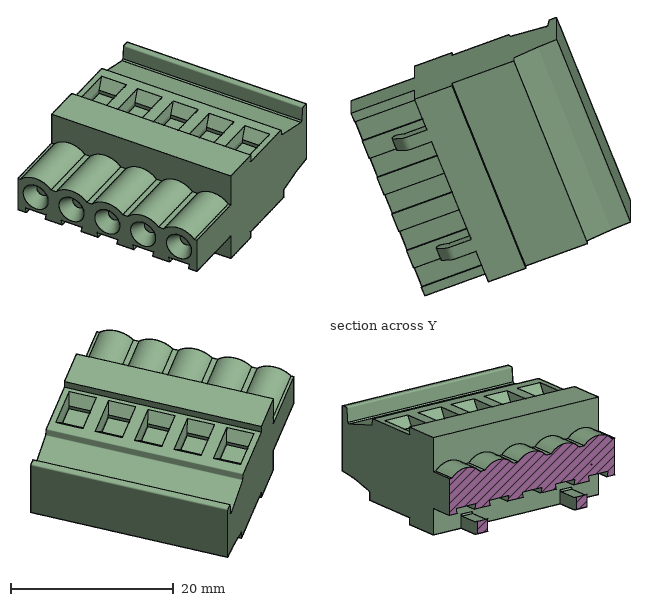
import cadquery as cq
import math


pole_count = 5
pitch = 5.08
width = pole_count * pitch
length = 27.1
height = 12.7

collar_front = 8.37
collar_rear = 13.3
body_top = 11.7
body_bottom = 0.9
rear_bottom_step = 21.45
ramp_low_z = 2.05
ramp_bend_y = 24.6
ramp_bend_z = 2.86
ramp_high_z = 3.17
ramp_round = 0.12
shelf_front_top = 20.78
shelf_front_bottom = 21.0
shelf_front_z = 10.82
shelf_rear_z = 9.6
lip_top = 26.1
lip_foot = 25.9
lip_round = 0.2
lip_foot_chamfer = 0.2
shelf_edge_round = 0.12

nose_bottom = 3.46
nose_shoulder = 8.27
barrel_top = 9.2
barrel_gap = 0.72
keyway_top = 4.14
keyway_top_width = 2.93
keyway_mouth_width = 2.65

funnel_z = height / 2
funnel_mouth_diameter = 3.55
funnel_floor_diameter = 1.6
funnel_half_angle = math.radians(30)
funnel_depth = (funnel_mouth_diameter - funnel_floor_diameter) / 2 / math.tan(funnel_half_angle)

pocket_y = 16.58
mouth_width = 3.5
mouth_length = 5.5
well_width = 2.8
well_length = 3.0
taper_depth = 1.2
well_depth = 0.5

hook_width = 1.65
hook_x = 1.5 * pitch
hook_arm_top = 1.64
hook_heel_radius = 1.3
hook_tip_radius = 0.545
hook_tip_y = 4.315
hook_tip_z = 1.655
hook_slope = math.radians(45)
hook_neck_y = 5.45
hook_root_fillet = 0.2

pole_positions = [(i - (pole_count - 1) / 2) * pitch for i in range(pole_count)]


def side_profile():
    """Workplane for Y-Z outlines, extruded along X."""
    return cq.Workplane("YZ")


def make_housing():
    outline = [
        (collar_front, 0),
        (collar_rear, 0),
        (collar_rear, body_bottom),
        (rear_bottom_step, body_bottom),
        (rear_bottom_step, ramp_low_z),
        (ramp_bend_y, ramp_bend_z),
        (length, ramp_high_z),
        (length, body_top),
        (lip_top, body_top),
        (lip_foot, shelf_rear_z),
        (shelf_front_bottom, shelf_front_z),
        (shelf_front_top, body_top),
        (collar_rear, body_top),
        (collar_rear, height),
        (collar_front, height),
    ]
    housing = side_profile().polyline(outline).close().extrude(width / 2, both=True)

    def edge_at(y, z):
        near = 0.01
        return cq.selectors.BoxSelector(
            (-width, y - near, z - near), (width, y + near, z + near)
        )

    housing = housing.edges(edge_at(length, body_top)).fillet(lip_round)
    housing = housing.edges(edge_at(lip_top, body_top)).fillet(lip_round)
    housing = housing.edges(edge_at(lip_foot, shelf_rear_z)).chamfer(lip_foot_chamfer)
    housing = housing.edges(edge_at(shelf_front_top, body_top)).fillet(shelf_edge_round)
    housing = housing.edges(edge_at(shelf_front_bottom, shelf_front_z)).fillet(shelf_edge_round)
    return housing.edges(edge_at(rear_bottom_step, ramp_low_z)).fillet(ramp_round)


def make_nose():
    barrel_half = (pitch - barrel_gap) / 2
    outline = (
        cq.Workplane("XZ")
        .moveTo(-width / 2, nose_bottom)
        .lineTo(-width / 2, nose_shoulder)
    )
    for x in pole_positions:
        outline = outline.lineTo(x - barrel_half, nose_shoulder).threePointArc(
            (x, barrel_top), (x + barrel_half, nose_shoulder)
        )
    outline = outline.lineTo(width / 2, nose_shoulder).lineTo(width / 2, nose_bottom)
    nose = outline.close().extrude(-collar_front)
    for x in pole_positions:
        nose = nose.cut(make_keyway(x))
    return nose


def make_keyway(x):
    """Dovetail groove along the underside of one barrel."""
    return (
        cq.Workplane("XZ")
        .polyline([
            (x - keyway_mouth_width / 2, nose_bottom),
            (x - keyway_top_width / 2, keyway_top),
            (x + keyway_top_width / 2, keyway_top),
            (x + keyway_mouth_width / 2, nose_bottom),
        ])
        .close()
        .extrude(-collar_front)
    )


def make_funnel(x):
    cone = cq.Solid.makeCone(
        funnel_mouth_diameter / 2,
        funnel_floor_diameter / 2,
        funnel_depth,
        pnt=cq.Vector(x, 0, funnel_z),
        dir=cq.Vector(0, 1, 0),
    )
    return cq.Workplane(cone)


def make_pocket(x):
    taper = (
        cq.Workplane("XY", origin=(x, pocket_y, body_top))
        .rect(mouth_width, mouth_length)
        .workplane(offset=-taper_depth)
        .rect(well_width, well_length)
        .loft(ruled=True)
    )
    well = (
        cq.Workplane("XY", origin=(x, pocket_y, body_top - taper_depth))
        .rect(well_width, well_length)
        .extrude(-well_depth)
    )
    return taper.union(well)


def point_on_circle(center, radius, angle):
    return (
        center[0] + radius * math.cos(angle),
        center[1] + radius * math.sin(angle),
    )


def make_hook(x):
    """Latch arm with a rounded, upturned tip; its sloped underside is tangent to tip and heel."""
    down = math.radians(-90)
    slope_normal = down - hook_slope
    tip_center = (hook_tip_y, hook_tip_z)
    tip_start = point_on_circle(tip_center, hook_tip_radius, slope_normal)
    tip_middle = point_on_circle(tip_center, hook_tip_radius, slope_normal - math.pi / 2)
    tip_end = point_on_circle(tip_center, hook_tip_radius, slope_normal - math.pi)

    heel_rise = hook_heel_radius * (1 - math.cos(hook_slope))
    heel_start_y = tip_start[0] + (tip_start[1] - heel_rise) / math.tan(hook_slope)
    heel_center = (heel_start_y + hook_heel_radius * math.sin(hook_slope), hook_heel_radius)
    heel_middle = point_on_circle(heel_center, hook_heel_radius, down - hook_slope / 2)
    heel_start = (heel_start_y, heel_rise)

    return (
        side_profile()
        .workplane(offset=x)
        .moveTo(collar_front, 0)
        .lineTo(heel_center[0], 0)
        .threePointArc(heel_middle, heel_start)
        .lineTo(*tip_start)
        .threePointArc(tip_middle, tip_end)
        .lineTo(hook_neck_y, hook_arm_top)
        .lineTo(collar_front - hook_root_fillet, hook_arm_top)
        .radiusArc((collar_front, hook_arm_top + hook_root_fillet), hook_root_fillet)
        .close()
        .extrude(hook_width / 2, both=True)
    )


result = make_housing().union(make_nose())
for pole_x in pole_positions:
    result = result.cut(make_funnel(pole_x)).cut(make_pocket(pole_x))
for side in (-1, 1):
    result = result.union(make_hook(side * hook_x))